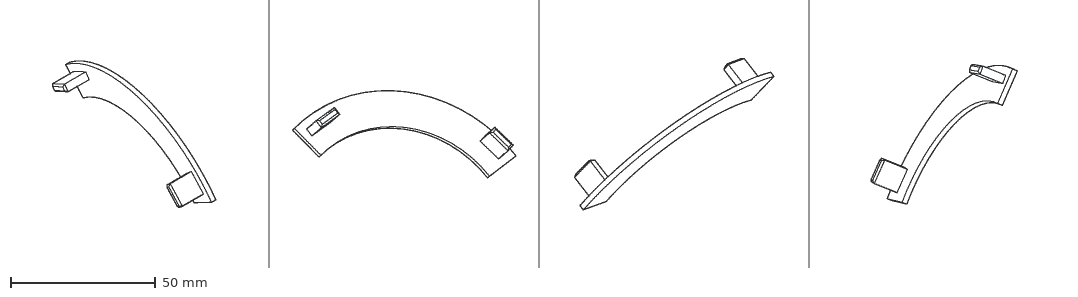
import cadquery as cq
import math

outer_radius = 54.8
inner_radius = 41.7
plate_length = 82.2
plate_thickness = 2.0
half_span = math.asin(plate_length / 2 / outer_radius)

peg_length = 8.95
peg_width = 3.0
peg_height = 10.0
peg_chamfer = 0.7
peg_radius = 50.05
peg_angle = 40.0


def arc_point(radius, angle):
    """Point at an angle in radians from the Z axis, positive toward +X."""
    return (radius * math.sin(angle), radius * math.cos(angle))


def make_plate():
    """Ring sector extruded toward +Y, with radial ends."""
    return (
        cq.Workplane("XZ")
        .moveTo(*arc_point(outer_radius, -half_span))
        .threePointArc(arc_point(outer_radius, 0), arc_point(outer_radius, half_span))
        .lineTo(*arc_point(inner_radius, half_span))
        .threePointArc(arc_point(inner_radius, 0), arc_point(inner_radius, -half_span))
        .close()
        .extrude(-plate_thickness)
    )


def make_peg(angle):
    """Peg with a chamfered tip, its long side tangent to the arc."""
    return (
        cq.Workplane("XZ")
        .center(0, peg_radius)
        .rect(peg_length, peg_width)
        .extrude(peg_height)
        .faces("<Y")
        .chamfer(peg_chamfer)
        .rotate((0, 0, 0), (0, 1, 0), angle)
    )


result = make_plate()
for angle in (-peg_angle, peg_angle):
    result = result.union(make_peg(angle))